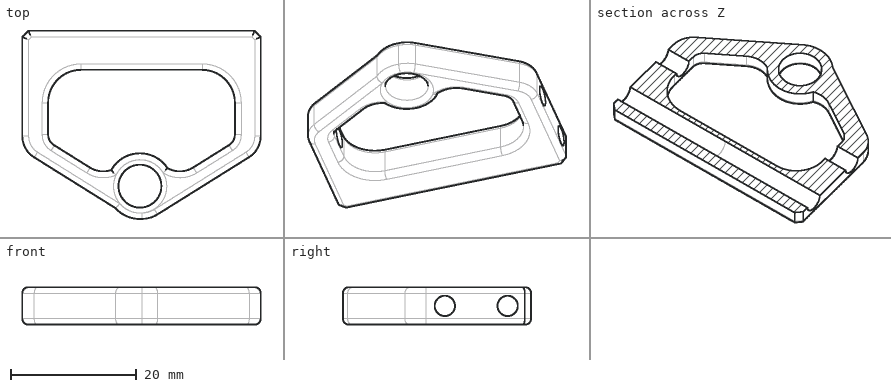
import cadquery as cq
import math

WIDTH = 38.0
DEPTH = 30.0
THICKNESS = 6.0
BACK_Y = DEPTH / 2
FRONT_Y = -DEPTH / 2
EDGE_RADIUS = 1.0
BACK_CORNER_CHAMFER = 1.0
SIDE_CORNER_RADIUS = 4.0
SLANT_ANGLE = math.radians(32)

EYE_OUTER_RADIUS = 5.25
EYE_HOLE_RADIUS = 3.4
EYE_RIM_RADIUS = 0.84
EYE_X = -0.25
EYE_Y = FRONT_Y + EYE_OUTER_RADIUS

SELECTION_MARGIN = 0.1

NOSE_RADIUS = 4.8

SIDE_WALL = 4.15
BACK_BAR = 6.25
SLANT_WALL = 3.35
OPENING_BACK_RADIUS = 5.2
OPENING_SIDE_RADIUS = 2.0
OPENING_FRONT_RADIUS = 4.0
OPENING_FRONT_CENTRE_X = 6.1
OPENING_FRONT_ARC_END = math.radians(40)

CROSS_HOLE_DIAMETER = 3.2
CROSS_HOLE_SPACING = 10.0
CROSS_HOLE_BACK_DISTANCE = 3.75
CROSS_HOLE_Y = (BACK_Y - CROSS_HOLE_BACK_DISTANCE, BACK_Y - CROSS_HOLE_BACK_DISTANCE - CROSS_HOLE_SPACING)

HALF_WIDTH = WIDTH / 2
SLANT_SLOPE = math.tan(SLANT_ANGLE)
NOSE_TIP_Y = EYE_Y - math.sqrt(EYE_OUTER_RADIUS**2 - EYE_X**2)
NOSE_CENTRE_Y = NOSE_TIP_Y + NOSE_RADIUS
APEX_Y = NOSE_CENTRE_Y - NOSE_RADIUS / math.cos(SLANT_ANGLE)


def slant_y(x, inset=0.0):
    """Y of the slanted sides at x, moved inward by inset."""
    return APEX_Y + inset / math.cos(SLANT_ANGLE) + abs(x) * SLANT_SLOPE


def nose_point(angle):
    """Point on the nose arc, at an angle to the right of its tip."""
    return (NOSE_RADIUS * math.sin(angle), NOSE_CENTRE_Y - NOSE_RADIUS * math.cos(angle))


def eye_point(angle):
    """Point on the outside of the eye, at an angle to the right of its frontmost point."""
    return (EYE_X + EYE_OUTER_RADIUS * math.sin(angle), EYE_Y - EYE_OUTER_RADIUS * math.cos(angle))


def left_slant_meeting_angle():
    """Eye angle at which the left slanted side runs into the eye."""
    eye_to_slant = (EYE_Y - slant_y(EYE_X)) * math.cos(SLANT_ANGLE)
    return -SLANT_ANGLE - math.acos(eye_to_slant / EYE_OUTER_RADIUS)


def round_corners_at(body, corner_y, radius):
    """Round the upright edges that stand at corner_y."""
    corner_box = cq.selectors.BoxSelector(
        (-WIDTH, corner_y - SELECTION_MARGIN, -THICKNESS),
        (WIDTH, corner_y + SELECTION_MARGIN, THICKNESS),
    )
    return body.edges("|Z").edges(corner_box).fillet(radius)


def make_outer_body():
    """Solid plate whose front tip follows the nose on the right and the eye on the left."""
    meeting_angle = left_slant_meeting_angle()
    body = (
        cq.Workplane("XY")
        .moveTo(-HALF_WIDTH, BACK_Y)
        .lineTo(HALF_WIDTH, BACK_Y)
        .lineTo(HALF_WIDTH, slant_y(HALF_WIDTH))
        .lineTo(*nose_point(SLANT_ANGLE))
        .threePointArc(nose_point(SLANT_ANGLE / 2), nose_point(0))
        .threePointArc(eye_point(meeting_angle / 2), eye_point(meeting_angle))
        .lineTo(-HALF_WIDTH, slant_y(HALF_WIDTH))
        .close()
        .extrude(THICKNESS / 2, both=True)
    )
    body = body.edges("|Z and >Y").chamfer(BACK_CORNER_CHAMFER)
    return round_corners_at(body, slant_y(HALF_WIDTH), SIDE_CORNER_RADIUS)


def make_opening():
    """Opening prism; its straight front edge between the arcs lies within the eye."""
    half_opening = HALF_WIDTH - SIDE_WALL
    opening_back_y = BACK_Y - BACK_BAR
    corner_y = slant_y(half_opening, SLANT_WALL)
    arc_x = OPENING_FRONT_CENTRE_X
    arc_y = slant_y(arc_x, SLANT_WALL) + OPENING_FRONT_RADIUS / math.cos(SLANT_ANGLE)
    tangent_x = arc_x + OPENING_FRONT_RADIUS * math.sin(SLANT_ANGLE)
    tangent_y = arc_y - OPENING_FRONT_RADIUS * math.cos(SLANT_ANGLE)
    lowest_y = arc_y - OPENING_FRONT_RADIUS
    inner_x = arc_x - OPENING_FRONT_RADIUS * math.sin(OPENING_FRONT_ARC_END)
    inner_y = arc_y - OPENING_FRONT_RADIUS * math.cos(OPENING_FRONT_ARC_END)
    opening = (
        cq.Workplane("XY")
        .moveTo(-half_opening, opening_back_y)
        .lineTo(half_opening, opening_back_y)
        .lineTo(half_opening, corner_y)
        .lineTo(tangent_x, tangent_y)
        .threePointArc((arc_x, lowest_y), (inner_x, inner_y))
        .lineTo(-inner_x, inner_y)
        .threePointArc((-arc_x, lowest_y), (-tangent_x, tangent_y))
        .lineTo(-half_opening, corner_y)
        .close()
        .extrude(THICKNESS / 2, both=True)
    )
    opening = opening.edges("|Z and >Y").fillet(OPENING_BACK_RADIUS)
    return round_corners_at(opening, corner_y, OPENING_SIDE_RADIUS)


def make_eye_hole():
    return (
        cq.Workplane("XY")
        .center(EYE_X, EYE_Y)
        .circle(EYE_HOLE_RADIUS)
        .extrude(THICKNESS / 2, both=True)
    )


def make_eye_back():
    """Back half of the eye, bulging into the opening, with rounded rims."""
    top = THICKNESS / 2
    shoulder = top - EDGE_RADIUS
    rim = EYE_OUTER_RADIUS - EDGE_RADIUS
    diagonal = EDGE_RADIUS * math.sqrt(0.5)
    return (
        cq.Workplane("XZ", origin=(EYE_X, EYE_Y, 0))
        .moveTo(0, -top)
        .lineTo(rim, -top)
        .threePointArc((rim + diagonal, -shoulder - diagonal), (EYE_OUTER_RADIUS, -shoulder))
        .lineTo(EYE_OUTER_RADIUS, shoulder)
        .threePointArc((rim + diagonal, shoulder + diagonal), (rim, top))
        .lineTo(0, top)
        .close()
        .revolve(180, (0, 0), (0, 1))
    )


def round_hole_rims(body):
    """Round both rims of the eye hole."""
    reach = EYE_HOLE_RADIUS + SELECTION_MARGIN
    hole_box = cq.selectors.BoxSelector(
        (EYE_X - reach, EYE_Y - reach, -THICKNESS),
        (EYE_X + reach, EYE_Y + reach, THICKNESS),
        boundingbox=True,
    )
    return body.edges(hole_box).edges("%CIRCLE").fillet(EYE_RIM_RADIUS)


def make_cross_holes():
    return (
        cq.Workplane("YZ")
        .pushPoints([(y, 0) for y in CROSS_HOLE_Y])
        .circle(CROSS_HOLE_DIAMETER / 2)
        .extrude(HALF_WIDTH, both=True)
    )


frame = make_outer_body().cut(make_opening())
frame = frame.faces("<Z or >Z").edges().fillet(EDGE_RADIUS)
frame = frame.union(make_eye_back())
frame = round_hole_rims(frame.cut(make_eye_hole()))
result = frame.cut(make_cross_holes())